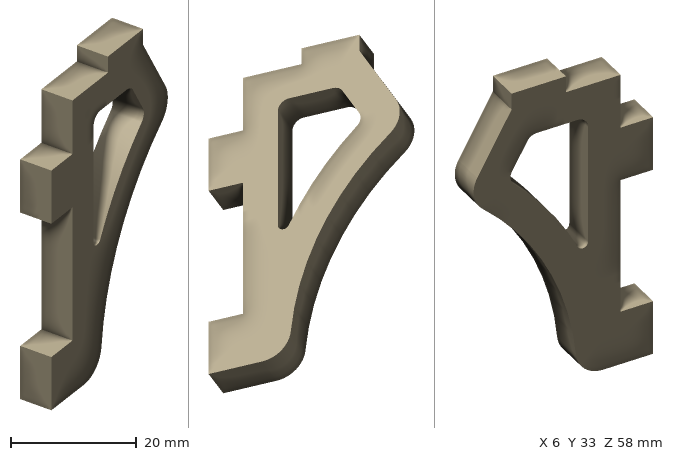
import cadquery as cq
import math

thickness = 6.0
height = 58.0
wall = 6.0
tab_size = 10.0

spine_y = wall
upper_tab_bottom = 35.0
upper_tab_top = upper_tab_bottom + tab_size
top_tab_end = 26.0
top_tab_start = top_tab_end - tab_size
top_tab_height = 3.0
shoulder_z = height - top_tab_height

slope_angle = math.radians(30)
arc_radius = 50.0
arc_center_y = 64.0
outer_corner_radius = 5.0

window_upper_radius = 2.0
window_lower_radius = 1.0


def arc_point_at_y(radius, y):
    return (y, math.sqrt(radius**2 - (arc_center_y - y) ** 2))


def arc_middle(radius, first, second):
    """Point halfway along the concave arc between two of its points."""
    angles = [math.atan2(z, arc_center_y - y) for y, z in (first, second)]
    angle = sum(angles) / 2
    return (arc_center_y - radius * math.cos(angle), radius * math.sin(angle))


def slope_y(z, inset):
    """Y of the sloping edge, moved inward by inset, at height z."""
    return top_tab_end + (shoulder_z - z) * math.tan(slope_angle) - inset / math.cos(slope_angle)


def slope_arc_corner(radius, inset):
    """Point where the inset sloping edge meets the concave arc."""
    base_y = slope_y(0, inset)
    offset = arc_center_y - base_y
    along = offset * math.sin(slope_angle)
    distance = -along + math.sqrt(along**2 - offset**2 + radius**2)
    return (base_y - distance * math.sin(slope_angle), distance * math.cos(slope_angle))


def round_corner(body, corner, radius):
    """Round the edge that runs through the plate at a profile corner."""
    return body.edges("|X").edges(cq.selectors.NearestToPointSelector((0, *corner))).fillet(radius)


outer_corner = slope_arc_corner(arc_radius, 0)
foot_corner = (arc_center_y - arc_radius, 0)
plate = (
    cq.Workplane("YZ")
    .moveTo(0, 0)
    .lineTo(0, tab_size)
    .lineTo(spine_y, tab_size)
    .lineTo(spine_y, upper_tab_bottom)
    .lineTo(0, upper_tab_bottom)
    .lineTo(0, upper_tab_top)
    .lineTo(spine_y, upper_tab_top)
    .lineTo(spine_y, shoulder_z)
    .lineTo(top_tab_start, shoulder_z)
    .lineTo(top_tab_start, height)
    .lineTo(top_tab_end, height)
    .lineTo(top_tab_end, shoulder_z)
    .lineTo(*outer_corner)
    .threePointArc(arc_middle(arc_radius, outer_corner, foot_corner), foot_corner)
    .close()
    .extrude(thickness / 2, both=True)
)
for corner in (outer_corner, foot_corner):
    plate = round_corner(plate, corner, outer_corner_radius)

window_arc_radius = arc_radius + wall
window_y = spine_y + wall
window_top = shoulder_z - wall
window_spine_corner = (window_y, window_top)
window_slope_corner = (slope_y(window_top, wall), window_top)
window_outer_corner = slope_arc_corner(window_arc_radius, wall)
window_lower_corner = arc_point_at_y(window_arc_radius, window_y)
window = (
    cq.Workplane("YZ")
    .moveTo(*window_spine_corner)
    .lineTo(*window_slope_corner)
    .lineTo(*window_outer_corner)
    .threePointArc(
        arc_middle(window_arc_radius, window_outer_corner, window_lower_corner),
        window_lower_corner,
    )
    .close()
    .extrude(thickness / 2, both=True)
)
for corner, radius in (
    (window_spine_corner, window_upper_radius),
    (window_slope_corner, window_upper_radius),
    (window_outer_corner, window_upper_radius),
    (window_lower_corner, window_lower_radius),
):
    window = round_corner(window, corner, radius)

result = plate.cut(window)